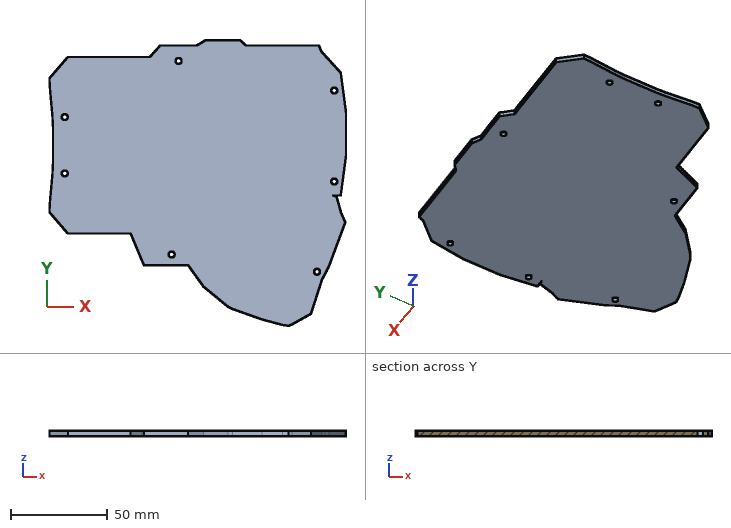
import cadquery as cq

LENGTH = 154.57
DEPTH = 148.8
THICKNESS = 3.0
HOLE_DIAMETER = 3.0

TOP_Y = 54.7
BOTTOM_Y = TOP_Y - DEPTH
SHOULDER_Y = 52.0
LEFT_HALF_WIDTH = 46.0
LOBE_STEP_Y = -62.6

CHAMFER_X = 9.6
CHAMFER_HALF_Y = 34.9
WAIST_HALF = [(0.15, 30.4), (1.55, 14.9), (1.8, 9.4)]

RIGHT_CENTER_Y = 5.8
RIGHT_FLAT_HALF = 11.2
RIGHT_TAPER_HALF = 32.0
RIGHT_TAPER_X = 151.8
SLIT_OPENING = 0.4

LEFT_HOLE_X = 8.0
LEFT_HOLE_HALF_SPACING = 14.65
RIGHT_HOLE_X = 148.4
HOLE_CENTERS = [
    (LEFT_HOLE_X, LEFT_HOLE_HALF_SPACING),
    (LEFT_HOLE_X, -LEFT_HOLE_HALF_SPACING),
    (67.3, 43.9),
    (63.7, -56.9),
    (RIGHT_HOLE_X, 28.5),
    (RIGHT_HOLE_X, -18.9),
    (139.4, -65.9),
]


def left_end():
    """Left end from its lower to its upper corner, mirrored about Y = 0."""
    upper = WAIST_HALF[::-1] + [(0, CHAMFER_HALF_Y), (CHAMFER_X, LEFT_HALF_WIDTH)]
    lower = [(x, -y) for x, y in reversed(upper)]
    return lower + upper


def upper_edge():
    """Step up to the shoulder, then the raised tab and the right corner."""
    step = [(52.3, LEFT_HALF_WIDTH), (56.2, 50.3), (57.6, SHOULDER_Y)]
    tab = [(76.7, SHOULDER_Y), (81.3, TOP_Y), (99.4, TOP_Y), (102.4, SHOULDER_Y)]
    corner = [(140.4, SHOULDER_Y), (141.8, 48.7)]
    return step + tab + corner


def right_side():
    """Tapered right side, from top to bottom."""
    return [
        (RIGHT_TAPER_X, RIGHT_CENTER_Y + RIGHT_TAPER_HALF),
        (LENGTH, RIGHT_CENTER_Y + RIGHT_FLAT_HALF),
        (LENGTH, RIGHT_CENTER_Y - RIGHT_FLAT_HALF),
        (RIGHT_TAPER_X, RIGHT_CENTER_Y - RIGHT_TAPER_HALF),
    ]


def notch():
    """Sharp notch that narrows to a slit below the right side."""
    slit_y = RIGHT_CENTER_Y - RIGHT_TAPER_HALF
    return [(147.7, slit_y), (149.6, slit_y - SLIT_OPENING)]


def lobe():
    """Lobe at the lower right, clockwise from the notch to the left end."""
    right_flank = [(152.0, -35.2), (154.2, -40.1), (145.6, -63.2), (143.6, -67.1), (142.1, -69.8)]
    tip = [(136.3, -87.8), (126.3, -93.4), (124.6, BOTTOM_Y), (121.3, -93.6)]
    lower_bend = [(110.8, -90.8), (95.3, -85.3), (93.1, -84.2), (80.3, -73.7)]
    step = [(72.3, LOBE_STEP_Y), (49.3, LOBE_STEP_Y), (48.3, -60.4), (42.3, -LEFT_HALF_WIDTH)]
    return right_flank + tip + lower_bend + step


outline = left_end() + upper_edge() + right_side() + notch() + lobe()
plate = cq.Workplane("XY").polyline(outline).close().extrude(THICKNESS)
holes = cq.Workplane("XY").pushPoints(HOLE_CENTERS).circle(HOLE_DIAMETER / 2).extrude(THICKNESS)
result = plate.cut(holes)